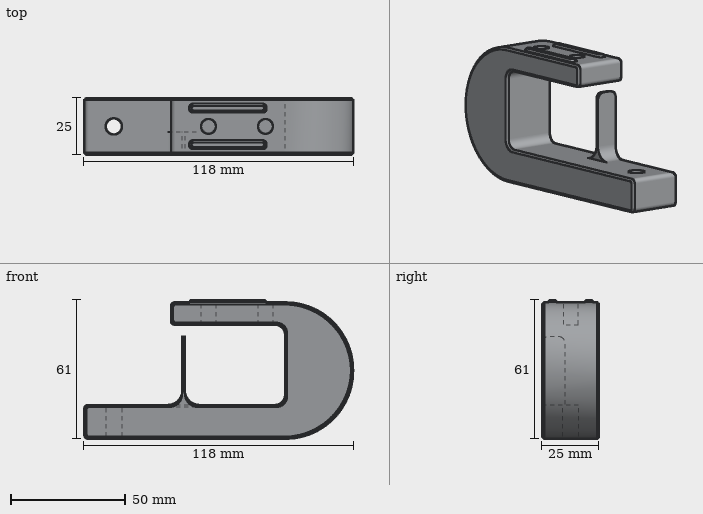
import cadquery as cq

width = 25.0
length = 118.0
body_height = 60.0
bend_radius = body_height / 2
bend_x = length - bend_radius
upper_tip_x = 38.0
lower_arm_thickness = 15.0
upper_arm_thickness = 10.0
floor_z = lower_arm_thickness
ceiling_z = body_height - upper_arm_thickness
tip_fillet = 2.0
throat_fillet = 4.0
side_chamfer = 1.0
margin = 1.0

blade_left_x = 43.0
blade_thickness = 1.2
blade_right_x = blade_left_x + blade_thickness
blade_width = 10.0
blade_top_z = 45.0
blade_root_radius = 6.0
blade_tip_fillet = 3.0

lower_hole_diameter = 7.0
lower_hole_x = 13.0
upper_hole_diameter = 6.5
upper_hole_x = 54.5
upper_hole_pitch = 25.0

rib_length = 34.0
rib_width = 4.0
rib_height = 1.0
rib_flank_angle = 45
rib_start_x = 46.0
rib_inset = 4.5


def make_body():
    """Hook outline extruded across the width, with rounded tips and bevelled sides."""
    body = (
        cq.Workplane("XZ")
        .lineTo(bend_x, 0)
        .threePointArc((length, bend_radius), (bend_x, body_height))
        .lineTo(upper_tip_x, body_height)
        .lineTo(upper_tip_x, ceiling_z)
        .lineTo(bend_x, ceiling_z)
        .lineTo(bend_x, floor_z)
        .lineTo(0, floor_z)
        .close()
        .extrude(-width)
    )
    throat_corners = cq.selectors.BoxSelector(
        (bend_x - margin, -margin, floor_z - margin),
        (bend_x + margin, width + margin, ceiling_z + margin),
    )
    tip_corners = cq.selectors.BoxSelector(
        (-margin, -margin, -margin),
        (upper_tip_x + margin, width + margin, body_height + margin),
    )
    body = body.edges("|Y").edges(throat_corners).fillet(throat_fillet)
    body = body.edges("|Y").edges(tip_corners).fillet(tip_fillet)
    return body.faces("<Y or >Y").edges().chamfer(side_chamfer)


def make_blade():
    """Thin blade with a rounded root on both faces and a rounded free end."""
    root_top_z = floor_z + blade_root_radius
    root_base_z = floor_z - side_chamfer
    root_left_x = blade_left_x - blade_root_radius
    root_right_x = blade_right_x + blade_root_radius
    blade = (
        cq.Workplane("XZ")
        .moveTo(root_left_x, root_base_z)
        .lineTo(root_left_x, floor_z)
        .radiusArc((blade_left_x, root_top_z), -blade_root_radius)
        .lineTo(blade_left_x, blade_top_z)
        .lineTo(blade_right_x, blade_top_z)
        .lineTo(blade_right_x, root_top_z)
        .radiusArc((root_right_x, floor_z), -blade_root_radius)
        .lineTo(root_right_x, root_base_z)
        .close()
        .extrude(-blade_width)
    )
    blade = blade.faces(">Z").edges("|X").fillet(blade_tip_fillet)
    for cone_x in (root_left_x, root_right_x):
        bevel = cq.Solid.makeCone(
            blade_root_radius,
            blade_root_radius - side_chamfer,
            side_chamfer,
            cq.Vector(cone_x, 0, root_top_z - side_chamfer),
            cq.Vector(0, 1, 0),
        )
        blade = blade.cut(cq.Workplane(obj=bevel))
    return blade


def make_hole(x, diameter, bottom_z, depth):
    """Vertical cylinder that is cut through one arm."""
    return cq.Workplane("XY", origin=(x, width / 2, bottom_z)).circle(diameter / 2).extrude(depth)


def make_rib(y):
    """Round-ended rib whose base lies on the upper arm."""
    centre = (rib_start_x + rib_length / 2, y, body_height)
    rib = cq.Workplane("XY", origin=centre).slot2D(rib_length, rib_width)
    return rib.extrude(rib_height, taper=rib_flank_angle)


result = make_body().union(make_blade())
for rib_y in (rib_inset, width - rib_inset):
    result = result.union(make_rib(rib_y))
result = result.cut(make_hole(lower_hole_x, lower_hole_diameter, 0, lower_arm_thickness))
for hole_x in (upper_hole_x, upper_hole_x + upper_hole_pitch):
    result = result.cut(make_hole(hole_x, upper_hole_diameter, ceiling_z, upper_arm_thickness))